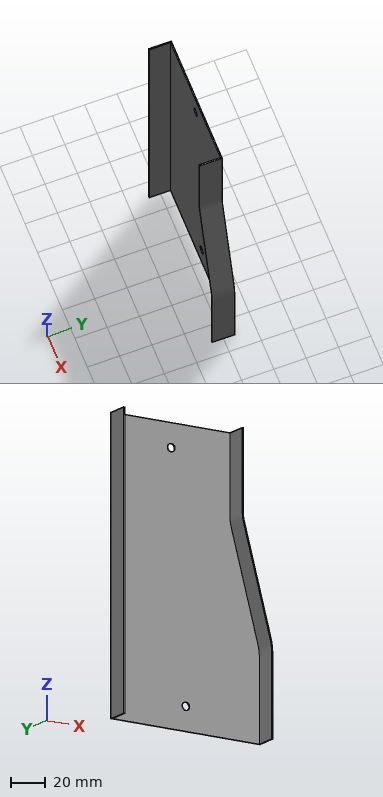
import cadquery as cq
import math

height = 184.0
bottom_width = 102.0
top_width = 81.9
depth = 14.0
sheet = 0.85

lower_bend_z = 56.3
upper_bend_z = 130.5
lower_bend_radius = 30.0
upper_bend_radius = 18.4

hole_diameter = 5.0
hole_end_distance = 15.0

bend_angle = math.atan2(bottom_width - top_width, upper_bend_z - lower_bend_z)


def outline_prism(inset, prism_depth, lower_radius, upper_radius):
    """Solid from the front (Y = 0) whose side faces are inset from the outer ones."""
    corner_drop = inset * math.tan(bend_angle / 2)
    left = inset
    lower_right = bottom_width - inset
    upper_right = top_width - inset
    lower_z = lower_bend_z - corner_drop
    upper_z = upper_bend_z - corner_drop
    prism = (
        cq.Workplane("XZ")
        .polyline([
            (left, 0),
            (lower_right, 0),
            (lower_right, lower_z),
            (upper_right, upper_z),
            (upper_right, height),
            (left, height),
        ])
        .close()
        .extrude(-prism_depth)
    )
    for x, z, radius in ((lower_right, lower_z, lower_radius), (upper_right, upper_z, upper_radius)):
        bend_edge = cq.selectors.NearestToPointSelector((x, prism_depth / 2, z))
        prism = prism.edges(bend_edge).fillet(radius)
    return prism


outer_solid = outline_prism(0, depth, lower_bend_radius + sheet, upper_bend_radius)
channel = outline_prism(sheet, depth - sheet, lower_bend_radius, upper_bend_radius + sheet)
result = outer_solid.cut(channel)

for x, z in (
    (bottom_width / 2, hole_end_distance),
    (top_width / 2, height - hole_end_distance),
):
    hole = cq.Workplane("XZ").center(x, z).circle(hole_diameter / 2).extrude(-depth)
    result = result.cut(hole)